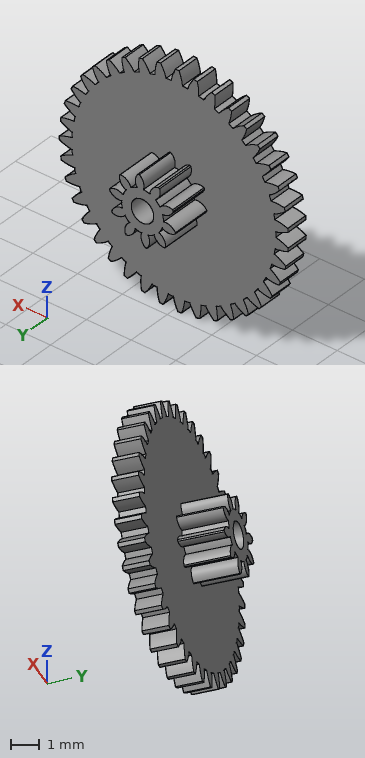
import cadquery as cq
import math

wheel_tip_diameter = 10.25
wheel_teeth = 39
pinion_teeth = 10
module = wheel_tip_diameter / (wheel_teeth + 2)
addendum = module
dedendum = 1.25 * module

wheel_thickness = 1.0
total_thickness = 2.75
pinion_length = total_thickness - wheel_thickness
bore_diameter = 1.0

wheel_phase = -0.6
wheel_tip_half_angle = 0.9
wheel_root_half_angle = 3.2
wheel_flank_turn = 17
pinion_phase = 11.5
pinion_tip_half_angle = 1.2
pinion_root_half_angle = 8.9
pinion_flank_turn = 72


def polar(radius, degrees):
    angle = math.radians(degrees)
    return (radius * math.cos(angle), radius * math.sin(angle))


def flank_middle(root, tip, turn):
    """Middle point of the flank arc from root to tip, bulging to the left of that direction."""
    run_x = tip[0] - root[0]
    run_y = tip[1] - root[1]
    height_to_chord = math.tan(math.radians(turn) / 4) / 2
    x = (root[0] + tip[0]) / 2 - run_y * height_to_chord
    y = (root[1] + tip[1]) / 2 + run_x * height_to_chord
    return (x, y)


def gear(teeth, phase, tip_half_angle, root_half_angle, flank_turn, start_y, length):
    """Spur gear along +Y with arc-shaped flanks and a plain bore."""
    pitch_radius = module * teeth / 2
    tip_radius = pitch_radius + addendum
    root_radius = pitch_radius - dedendum
    tooth_step = 360 / teeth

    face = cq.Workplane("XZ", origin=(0, start_y, 0))
    outline = face.moveTo(*polar(root_radius, phase - root_half_angle))
    for i in range(teeth):
        centre = phase + i * tooth_step
        first_root = polar(root_radius, centre - root_half_angle)
        first_tip = polar(tip_radius, centre - tip_half_angle)
        second_tip = polar(tip_radius, centre + tip_half_angle)
        second_root = polar(root_radius, centre + root_half_angle)
        next_root = polar(root_radius, centre + tooth_step - root_half_angle)
        outline = outline.threePointArc(flank_middle(first_root, first_tip, -flank_turn), first_tip)
        outline = outline.threePointArc(polar(tip_radius, centre), second_tip)
        outline = outline.threePointArc(flank_middle(second_root, second_tip, flank_turn), second_root)
        outline = outline.threePointArc(polar(root_radius, centre + tooth_step / 2), next_root)

    blank = outline.close().extrude(-length)
    bore = face.circle(bore_diameter / 2).extrude(-length)
    return blank.cut(bore)


wheel = gear(
    wheel_teeth,
    wheel_phase,
    wheel_tip_half_angle,
    wheel_root_half_angle,
    wheel_flank_turn,
    start_y=0,
    length=wheel_thickness,
)
pinion = gear(
    pinion_teeth,
    pinion_phase,
    pinion_tip_half_angle,
    pinion_root_half_angle,
    pinion_flank_turn,
    start_y=wheel_thickness,
    length=pinion_length,
)

result = cq.Compound.makeCompound([wheel.val(), pinion.val()])